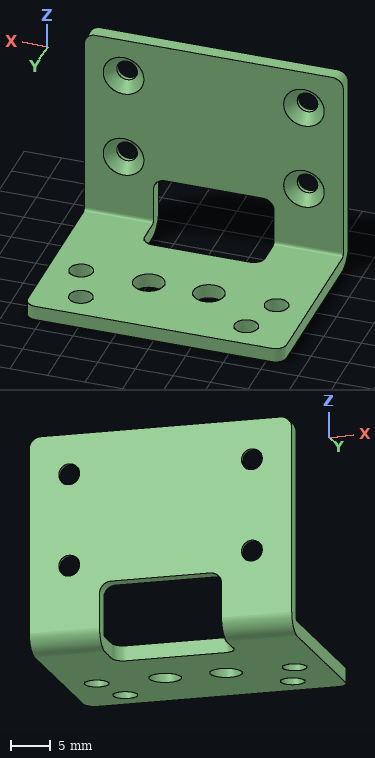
import cadquery as cq
import math

width = 34.5
depth = 25.75
height = 28.25
thickness = 2.0

bend_inner_radius = 0.5
bend_outer_radius = bend_inner_radius + thickness

corner_radius = 1.5

window_width = 16.0
window_top = 8.5
window_back = 7.0
window_corner_radius = 1.5

wall_hole_diameter = 2.7
countersink_diameter = 2 * wall_hole_diameter
countersink_angle = 90.0
countersink_depth = (
    (countersink_diameter - wall_hole_diameter) / 2
    / math.tan(math.radians(countersink_angle / 2))
)
wall_hole_x = 12.0
wall_hole_lower_z = 11.0
wall_hole_pitch_z = 12.0
wall_hole_upper_z = wall_hole_lower_z + wall_hole_pitch_z

base_hole_diameter = 3.1
base_large_hole_diameter = 4.1
base_front_row_y = 15.75
base_row_pitch_y = 6.0
base_back_row_y = base_front_row_y + base_row_pitch_y
base_front_hole_x = 13.0
base_back_hole_x = 11.0
base_large_hole_x = 4.0


def bent_sheet():
    """L-shaped sheet, centred on X = 0, with a rounded bend."""
    outline = (
        cq.Workplane("YZ")
        .polyline([
            (0, 0),
            (depth, 0),
            (depth, thickness),
            (thickness, thickness),
            (thickness, height),
            (0, height),
        ])
        .close()
    )
    sheet = outline.extrude(width / 2, both=True)
    outer_bend_edge = cq.selectors.NearestToPointSelector((0, 0, 0))
    inner_bend_edge = cq.selectors.NearestToPointSelector((0, thickness, thickness))
    sheet = sheet.edges("|X").edges(inner_bend_edge).fillet(bend_inner_radius)
    return sheet.edges("|X").edges(outer_bend_edge).fillet(bend_outer_radius)


def round_free_corners(sheet):
    """Round the two outer corners of the wall and of the base."""
    sheet = sheet.faces(">Z").edges("|Y").fillet(corner_radius)
    return sheet.faces(">Y").edges("|Z").fillet(corner_radius)


def bend_window():
    """Cutter for the window: one rounded slot in the wall, one in the base."""
    wall_cut = (
        cq.Workplane("XY")
        .box(window_width, thickness, window_top, centered=(True, False, False))
        .faces(">Z")
        .edges("|Y")
        .fillet(window_corner_radius)
    )
    base_cut = (
        cq.Workplane("XY")
        .box(window_width, window_back, thickness, centered=(True, False, False))
        .faces(">Y")
        .edges("|Z")
        .fillet(window_corner_radius)
    )
    inner_bend_cut = cq.Workplane("XY").box(
        window_width,
        bend_outer_radius,
        bend_outer_radius,
        centered=(True, False, False),
    )
    return wall_cut.union(base_cut).union(inner_bend_cut)


def drill_wall_holes(sheet):
    """Drill the four wall holes, countersunk from the inner face."""
    centres = [
        (side * wall_hole_x, z)
        for side in (-1, 1)
        for z in (wall_hole_lower_z, wall_hole_upper_z)
    ]
    inner_face = cq.Workplane("XZ", origin=(0, thickness, 0))
    for x, z in centres:
        drill = (
            inner_face.center(x, z)
            .circle(wall_hole_diameter / 2)
            .extrude(thickness)
        )
        countersink = (
            inner_face.center(x, z)
            .circle(countersink_diameter / 2)
            .extrude(countersink_depth, taper=countersink_angle / 2)
        )
        sheet = sheet.cut(drill).cut(countersink)
    return sheet


def base_hole_pair(x, y, diameter):
    """Cutter for two mirrored holes through the base."""
    return (
        cq.Workplane("XY")
        .pushPoints([(-x, y), (x, y)])
        .circle(diameter / 2)
        .extrude(thickness)
    )


result = round_free_corners(bent_sheet())
result = result.cut(bend_window())
result = drill_wall_holes(result)
for hole_x, row_y, hole_diameter in (
    (base_front_hole_x, base_front_row_y, base_hole_diameter),
    (base_back_hole_x, base_back_row_y, base_hole_diameter),
    (base_large_hole_x, base_front_row_y, base_large_hole_diameter),
):
    result = result.cut(base_hole_pair(hole_x, row_y, hole_diameter))